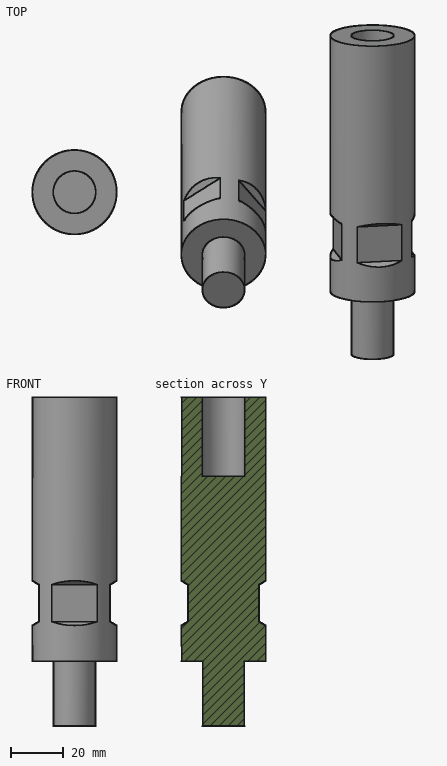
import cadquery as cq

total_height = 124.5
body_diameter = 32.0
stud_diameter = 16.0
stud_length = 24.5
bore_diameter = 16.0
bore_depth = 29.9

across_flats = 27.0
flat_bottom = 39.6
flat_height = 14.0
slope_rise = 1.5

body_radius = body_diameter / 2
flat_distance = across_flats / 2
flat_top = flat_bottom + flat_height


def make_body():
    """Round body standing on a narrower stud, with the stud's foot at Z = 0."""
    stud = cq.Workplane("XY").circle(stud_diameter / 2).extrude(stud_length)
    barrel = (
        cq.Workplane("XY")
        .workplane(offset=stud_length)
        .circle(body_radius)
        .extrude(total_height - stud_length)
    )
    return stud.union(barrel)


def make_flat_cutter():
    """Trapezoidal prism that cuts the flat on the +X side."""
    return (
        cq.Workplane("XZ")
        .moveTo(flat_distance, flat_bottom)
        .lineTo(body_radius, flat_bottom - slope_rise)
        .lineTo(body_radius, flat_top + slope_rise)
        .lineTo(flat_distance, flat_top)
        .close()
        .extrude(body_radius, both=True)
    )


def cut_flats(part):
    """Cut four equally spaced flats around the axis."""
    cutter = make_flat_cutter()
    for angle in (0, 90, 180, 270):
        part = part.cut(cutter.rotate((0, 0, 0), (0, 0, 1), angle))
    return part


def cut_bore(part):
    """Sink the blind bore into the top face."""
    return part.faces(">Z").workplane().hole(bore_diameter, bore_depth)


result = cut_bore(cut_flats(make_body()))